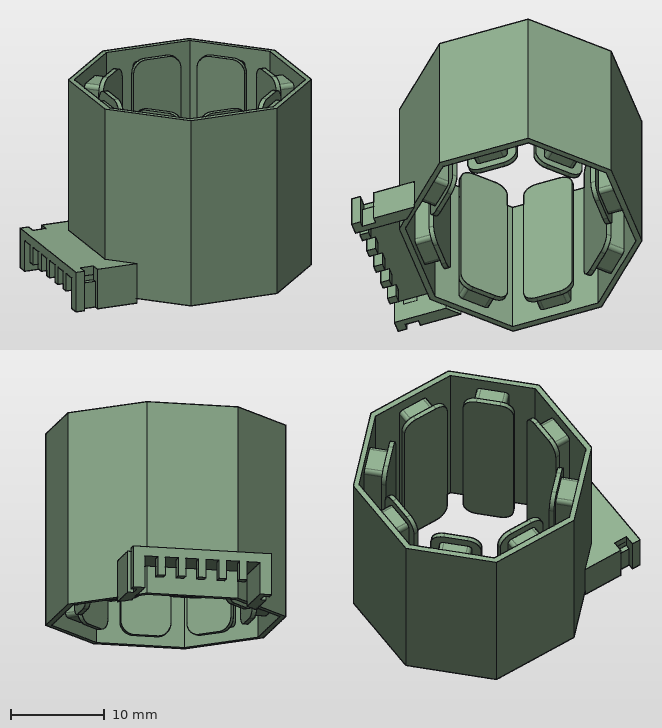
import cadquery as cq

TUBE_WIDTH = 23.9
TUBE_FLAT = 10.0
TUBE_HEIGHT = 21.0
WALL = 0.62
BORE_FLAT = 9.65

PEG_COUNT = 8
PAD_FACE_RADIUS = 8.85
PAD_THICKNESS = 0.5
PAD_WIDTH = 5.48
PAD_CORNER = 1.45
PAD_END_GAP = 0.5
POST_INSET = 1.0
POST_CORNER = PAD_CORNER - POST_INSET

BRACKET_WIDTH = 15.2
OVERALL_DEPTH = 28.4
BRACKET_FRONT_Y = TUBE_WIDTH / 2 - OVERALL_DEPTH
BRACKET_TOP_Z = 3.98
BRACKET_HEIGHT = 4.5
SLAB_THICKNESS = 1.02
LEG_WIDTH = 1.28

TOOTH_COUNT = 5
TOOTH_WIDTH = 0.82
TOOTH_LENGTH = 2.0

LIP_DEPTH = 1.0
GROOVE_LENGTH = 1.5
GROOVE_DEPTH = 0.62
GROOVE_TOP_DEPTH = 1.16
GROOVE_TOP_HEIGHT = 1.55

BOTTOM_Z = BRACKET_TOP_Z - BRACKET_HEIGHT
SLAB_UNDERSIDE_Z = BRACKET_TOP_Z - SLAB_THICKNESS


def block(x_range, y_range, z_range):
    """Box spanning the given ranges along X, Y and Z."""
    (x0, x1), (y0, y1), (z0, z1) = x_range, y_range, z_range
    return cq.Workplane("XY").box(x1 - x0, y1 - y0, z1 - z0, centered=False).translate((x0, y0, z0))


def octagon_prism(width, flat, z0, z1):
    """Octagonal prism, `width` across X and Y, with `flat` long sides square to X and Y."""
    prism = block((-width / 2, width / 2), (-width / 2, width / 2), (z0, z1))
    return prism.edges("|Z").chamfer((width - flat) / 2)


def make_tube():
    outer = octagon_prism(TUBE_WIDTH, TUBE_FLAT, 0, TUBE_HEIGHT)
    return outer.cut(octagon_prism(TUBE_WIDTH - 2 * WALL, BORE_FLAT, 0, TUBE_HEIGHT))


def rounded_plate(x_range, width, height, corner):
    """Upright plate square to X, centred at mid tube height, with rounded corners."""
    x0, x1 = x_range
    plate = cq.Workplane("YZ").rect(width, height).extrude(x1 - x0).edges("|X").fillet(corner)
    return plate.translate((x0, 0, TUBE_HEIGHT / 2))


def make_peg():
    """Peg on the +X wall: a post with a wider pad on its inner end."""
    pad_back = PAD_FACE_RADIUS + PAD_THICKNESS
    post_root = TUBE_WIDTH / 2 - WALL / 2
    pad_height = TUBE_HEIGHT - 2 * PAD_END_GAP
    pad = rounded_plate((PAD_FACE_RADIUS, pad_back), PAD_WIDTH, pad_height, PAD_CORNER)
    post_width = PAD_WIDTH - 2 * POST_INSET
    post_height = pad_height - 2 * POST_INSET
    post = rounded_plate((PAD_FACE_RADIUS, post_root), post_width, post_height, POST_CORNER)
    return pad.union(post)


def make_bracket():
    half = BRACKET_WIDTH / 2
    leg_inner = half - LEG_WIDTH
    bracket = block((-half, half), (BRACKET_FRONT_Y, 0), (BOTTOM_Z, BRACKET_TOP_Z))

    bracket = bracket.cut(block((-leg_inner, leg_inner), (BRACKET_FRONT_Y, 0), (BOTTOM_Z, SLAB_UNDERSIDE_Z)))

    bracket = bracket.cut(octagon_prism(TUBE_WIDTH, TUBE_FLAT, BOTTOM_Z, BRACKET_TOP_Z))

    lip_back_y = BRACKET_FRONT_Y + LIP_DEPTH
    tooth_gap = (2 * leg_inner - TOOTH_COUNT * TOOTH_WIDTH) / (TOOTH_COUNT + 1)
    tooth_z = (SLAB_UNDERSIDE_Z - TOOTH_LENGTH, SLAB_UNDERSIDE_Z)
    for i in range(TOOTH_COUNT):
        x0 = -leg_inner + tooth_gap + i * (TOOTH_WIDTH + tooth_gap)
        bracket = bracket.union(block((x0, x0 + TOOTH_WIDTH), (BRACKET_FRONT_Y, lip_back_y), tooth_z))

    groove_y = (lip_back_y, lip_back_y + GROOVE_LENGTH)
    groove = block((half - GROOVE_DEPTH, half), groove_y, (BOTTOM_Z, BRACKET_TOP_Z))
    groove_top_z = (BRACKET_TOP_Z - GROOVE_TOP_HEIGHT, BRACKET_TOP_Z)
    groove = groove.union(block((half - GROOVE_TOP_DEPTH, half), groove_y, groove_top_z))
    return bracket.cut(groove).cut(groove.mirror("YZ"))


result = make_tube().union(make_bracket())
peg = make_peg()
for i in range(PEG_COUNT):
    result = result.union(peg.rotate((0, 0, 0), (0, 0, 1), i * 360 / PEG_COUNT))